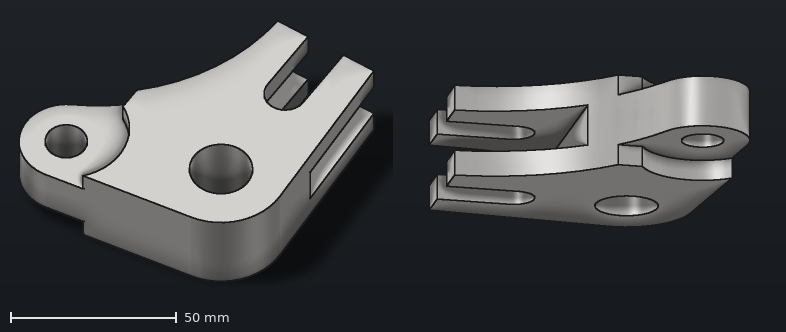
import cadquery as cq
import math

THICKNESS = 28.575
PIVOT_CORNER_RADIUS = 20.6375
PIVOT_BORE_DIAMETER = 19.05

LUG_CENTER = (-47.625, -12.7)
LUG_RADIUS = 14.2875
LUG_BORE_DIAMETER = 12.7
LUG_THICKNESS = 15.875
LUG_CLEARANCE_RADIUS = 19.05
LUG_STEP_OFFSET = 9.525

FORK_HALF_WIDTH = 17.4625
FORK_TOP = 57.15
FORK_SLOT_WIDTH = 12.7
FORK_SLOT_CENTER_Y = 34.925

CLEVIS_GAP = 12.7
CLEVIS_FLOOR_Y = 19.05

FLANK_RADIUS = 66.675

CUT_MARGIN = 10.0

BASE_PLANE = cq.Workplane("XY").workplane(offset=-THICKNESS / 2)


def polar(center, radius, angle):
    """Point at an angle (radians) on a circle."""
    return (center[0] + radius * math.cos(angle), center[1] + radius * math.sin(angle))


def direction(start, end):
    """Angle (radians) of the line from start to end."""
    return math.atan2(end[1] - start[1], end[0] - start[0])


def plate_outline():
    """Closed outline: right edge, pivot corner, bottom edge, lug end, concave flank."""
    pivot = (0.0, 0.0)
    fork_right = (FORK_HALF_WIDTH, FORK_TOP)
    fork_left = (-FORK_HALF_WIDTH, FORK_TOP)

    corner_distance = math.dist(pivot, fork_right)
    right_angle = direction(pivot, fork_right) - math.acos(PIVOT_CORNER_RADIUS / corner_distance)

    center_distance = math.dist(LUG_CENTER, pivot)
    tangent_tilt = math.acos((LUG_RADIUS - PIVOT_CORNER_RADIUS) / center_distance)
    bottom_angle = direction(LUG_CENTER, pivot) - tangent_tilt

    lug_to_flank = LUG_RADIUS + FLANK_RADIUS
    lug_to_fork = math.dist(LUG_CENTER, fork_left)
    cosine = (lug_to_flank**2 + lug_to_fork**2 - FLANK_RADIUS**2) / (2 * lug_to_flank * lug_to_fork)
    flank_angle = direction(LUG_CENTER, fork_left) + math.acos(cosine)
    flank_center = polar(LUG_CENTER, lug_to_flank, flank_angle)
    flank_end_angle = direction(flank_center, fork_left)
    flank_start_angle = flank_angle - math.pi
    flank_mid_angle = (flank_start_angle + flank_end_angle) / 2

    lug_mid_angle = (bottom_angle + flank_angle - 2 * math.pi) / 2

    return (
        BASE_PLANE
        .moveTo(*fork_right)
        .lineTo(*polar(pivot, PIVOT_CORNER_RADIUS, right_angle))
        .threePointArc(
            polar(pivot, PIVOT_CORNER_RADIUS, (right_angle + bottom_angle) / 2),
            polar(pivot, PIVOT_CORNER_RADIUS, bottom_angle),
        )
        .lineTo(*polar(LUG_CENTER, LUG_RADIUS, bottom_angle))
        .threePointArc(
            polar(LUG_CENTER, LUG_RADIUS, lug_mid_angle),
            polar(LUG_CENTER, LUG_RADIUS, flank_angle),
        )
        .threePointArc(polar(flank_center, FLANK_RADIUS, flank_mid_angle), fork_left)
        .close()
    )


def bore(center, diameter):
    """Cylinder through the full thickness."""
    return BASE_PLANE.center(*center).circle(diameter / 2).extrude(THICKNESS)


def lug_relief(side):
    """Cutter that thins the lug end on one face (side +1 is the top, -1 the bottom)."""
    face = cq.Workplane("XY").workplane(offset=side * LUG_THICKNESS / 2).center(*LUG_CENTER)
    depth = side * THICKNESS
    step_start = -(LUG_RADIUS + CUT_MARGIN)
    step_length = LUG_STEP_OFFSET - step_start
    disc = face.circle(LUG_CLEARANCE_RADIUS).extrude(depth)
    beyond_step = (
        face.center(step_start, 0)
        .rect(step_length, FORK_TOP - LUG_CENTER[1], centered=False)
        .extrude(depth)
    )
    return disc.union(beyond_step)


def fork_slot():
    """Round-ended slot cut down from the top of the fork through both prongs."""
    length = FORK_TOP + CUT_MARGIN - FORK_SLOT_CENTER_Y
    straight = (
        BASE_PLANE
        .center(0, FORK_SLOT_CENTER_Y + length / 2)
        .rect(FORK_SLOT_WIDTH, length)
        .extrude(THICKNESS)
    )
    return straight.union(bore((0, FORK_SLOT_CENTER_Y), FORK_SLOT_WIDTH))


def clevis_gap():
    """Flat-bottomed gap that splits the fork into an upper and a lower plate."""
    length = FORK_TOP + CUT_MARGIN - CLEVIS_FLOOR_Y
    width = 2 * (PIVOT_CORNER_RADIUS - LUG_CENTER[0])
    return cq.Workplane("XY").box(width, length, CLEVIS_GAP).translate((0, CLEVIS_FLOOR_Y + length / 2, 0))


result = plate_outline().extrude(THICKNESS)
for face_side in (1, -1):
    result = result.cut(lug_relief(face_side))
result = result.cut(fork_slot())
result = result.cut(clevis_gap())
result = result.cut(bore((0, 0), PIVOT_BORE_DIAMETER))
result = result.cut(bore(LUG_CENTER, LUG_BORE_DIAMETER))